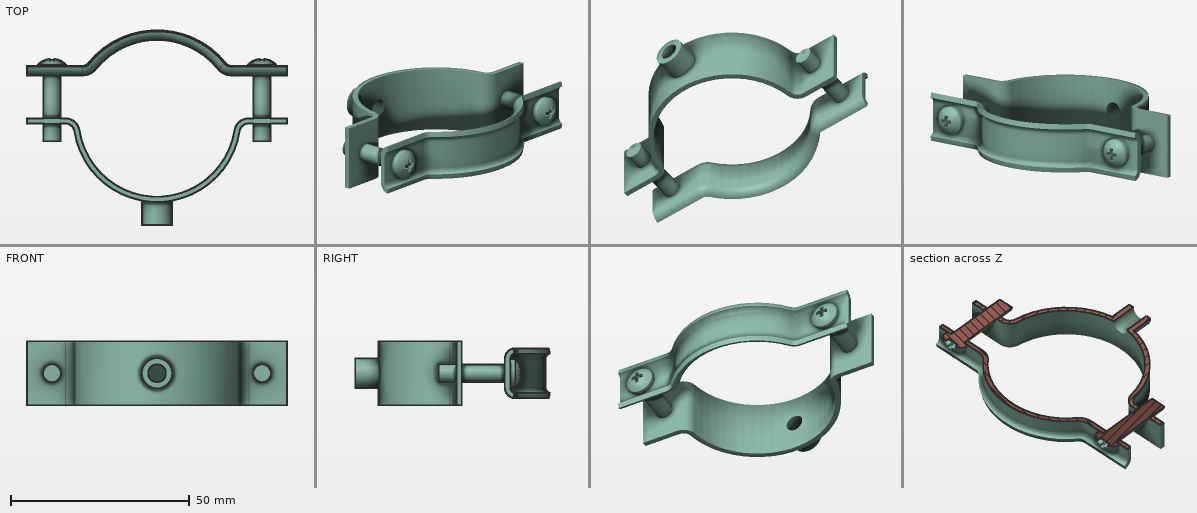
import cadquery as cq
import math

pipe_radius = 22.0
sheet = 1.5
clamp_length = 73.0
clamp_end = clamp_length / 2

lower_width = 18.0
lower_flange_back = 0.0
lower_bend_radius = 4.0

upper_width = 14.0
upper_flange_front = 12.0
upper_bend_radius = 5.0
curl_inner_radius = 1.6
curl_outer_radius = curl_inner_radius + sheet
curl_angle = 77.0
curl_rise = curl_outer_radius * math.sin(math.radians(curl_angle))
web_half_width = upper_width / 2 - curl_rise

boss_diameter = 8.5
boss_bore = 5.0
boss_end = -30.0

screw_offset = 29.5
shank_diameter = 5.0
shank_end = -6.5
head_diameter = 8.0
head_rim_height = 1.5
head_dome_height = 1.75
recess_length = 3.5
recess_width = 1.2
recess_depth = 1.5


def screw_hole_cutters():
    """Cylinders along Y at both screw places, long enough to pierce both bands."""
    return (
        cq.Workplane("XZ")
        .pushPoints([(-screw_offset, 0), (screw_offset, 0)])
        .circle(shank_diameter / 2)
        .extrude(clamp_length / 2, both=True)
    )


def band_line(flange_y, bend_radius, side, offset=0.0):
    """Points of the left half of a band line, from the flange end to the crown.

    The line runs along the flange, round the bend and along the pipe arc.
    side is +1 for a band above the pipe axis and -1 for one below it.
    offset moves the whole line away from the pipe face, through the sheet.
    Returns flange end, bend start, bend middle, bend end and crown.
    """
    center_distance = pipe_radius + bend_radius
    bend_y = flange_y + side * bend_radius
    bend_x = -math.sqrt(center_distance**2 - bend_y**2)
    arc_radius = pipe_radius + offset
    turn_radius = bend_radius - offset

    start_angle = -side * math.pi / 2
    end_angle = math.atan2(-bend_y, -bend_x)
    middle_angle = (start_angle + end_angle) / 2

    def bend_point(angle):
        return (bend_x + turn_radius * math.cos(angle), bend_y + turn_radius * math.sin(angle))

    bend_start = bend_point(start_angle)
    flange_end = (-clamp_end, bend_start[1])
    crown = (0, side * arc_radius)
    return flange_end, bend_start, bend_point(middle_angle), bend_point(end_angle), crown


def mirrored(point):
    return (-point[0], point[1])


def make_lower_band():
    inner = band_line(lower_flange_back, lower_bend_radius, -1)
    outer = band_line(lower_flange_back, lower_bend_radius, -1, sheet)
    inner_end, inner_start, inner_middle, inner_stop, inner_crown = inner
    outer_end, outer_start, outer_middle, outer_stop, outer_crown = outer
    band = (
        cq.Workplane("XY")
        .moveTo(*inner_end)
        .lineTo(*inner_start)
        .threePointArc(inner_middle, inner_stop)
        .threePointArc(inner_crown, mirrored(inner_stop))
        .threePointArc(mirrored(inner_middle), mirrored(inner_start))
        .lineTo(*mirrored(inner_end))
        .lineTo(*mirrored(outer_end))
        .lineTo(*mirrored(outer_start))
        .threePointArc(mirrored(outer_middle), mirrored(outer_stop))
        .threePointArc(outer_crown, outer_stop)
        .threePointArc(outer_middle, outer_start)
        .lineTo(*outer_end)
        .close()
        .extrude(lower_width / 2, both=True)
    )

    boss_start = -(pipe_radius + sheet / 2)
    boss = (
        cq.Workplane("XZ", origin=(0, boss_start, 0))
        .circle(boss_diameter / 2)
        .extrude(boss_start - boss_end)
    )
    bore = cq.Workplane("XZ").circle(boss_bore / 2).extrude(-boss_end)
    return band.union(boss).cut(bore).cut(screw_hole_cutters())


def curl_point(radius, degrees, side):
    """Section point on a curl: distance behind the web's front face, then Z."""
    turn = math.radians(degrees)
    behind = curl_outer_radius - radius * math.cos(turn)
    across = web_half_width + radius * math.sin(turn)
    return (behind, side * across)


def make_upper_band():
    end, start, middle, stop, crown = band_line(upper_flange_front, upper_bend_radius, 1)
    path = (
        cq.Workplane("XY")
        .moveTo(*end)
        .lineTo(*start)
        .threePointArc(middle, stop)
        .threePointArc(crown, mirrored(stop))
        .threePointArc(mirrored(middle), mirrored(start))
        .lineTo(*mirrored(end))
    )

    half_curl = curl_angle / 2
    section = (
        cq.Workplane("YZ", origin=(-clamp_end, upper_flange_front, 0))
        .moveTo(0, -web_half_width)
        .lineTo(0, web_half_width)
        .threePointArc(
            curl_point(curl_outer_radius, half_curl, 1),
            curl_point(curl_outer_radius, curl_angle, 1),
        )
        .lineTo(*curl_point(curl_inner_radius, curl_angle, 1))
        .threePointArc(curl_point(curl_inner_radius, half_curl, 1), (sheet, web_half_width))
        .lineTo(sheet, -web_half_width)
        .threePointArc(
            curl_point(curl_inner_radius, half_curl, -1),
            curl_point(curl_inner_radius, curl_angle, -1),
        )
        .lineTo(*curl_point(curl_outer_radius, curl_angle, -1))
        .threePointArc(curl_point(curl_outer_radius, half_curl, -1), (0, -web_half_width))
        .close()
    )
    return section.sweep(path).cut(screw_hole_cutters())


def make_screw(x):
    """Domed screw along Y with a cross recess, its head seated on the upper band."""
    head_base = upper_flange_front + sheet
    rim_top = head_base + head_rim_height
    head_top = rim_top + head_dome_height
    head_radius = head_diameter / 2
    shank_radius = shank_diameter / 2
    dome_radius = (head_radius**2 + head_dome_height**2) / (2 * head_dome_height)
    dome_mid_x = head_radius / 2
    dome_mid_y = head_top - dome_radius + math.sqrt(dome_radius**2 - dome_mid_x**2)
    body = (
        cq.Workplane("XY")
        .moveTo(0, shank_end)
        .lineTo(shank_radius, shank_end)
        .lineTo(shank_radius, head_base)
        .lineTo(head_radius, head_base)
        .lineTo(head_radius, rim_top)
        .threePointArc((dome_mid_x, dome_mid_y), (0, head_top))
        .close()
        .revolve(360, (0, 0, 0), (0, 1, 0))
    )
    slot_x = cq.Workplane("XY").box(recess_length, recess_depth, recess_width)
    slot_z = cq.Workplane("XY").box(recess_width, recess_depth, recess_length)
    recess = slot_x.union(slot_z).translate((0, head_top - recess_depth / 2, 0))
    return body.cut(recess).translate((x, 0, 0))


lower_band = make_lower_band()
upper_band = make_upper_band()
screws = [make_screw(x) for x in (-screw_offset, screw_offset)]

result = cq.Compound.makeCompound(
    [lower_band.val(), upper_band.val(), *[screw.val() for screw in screws]]
)